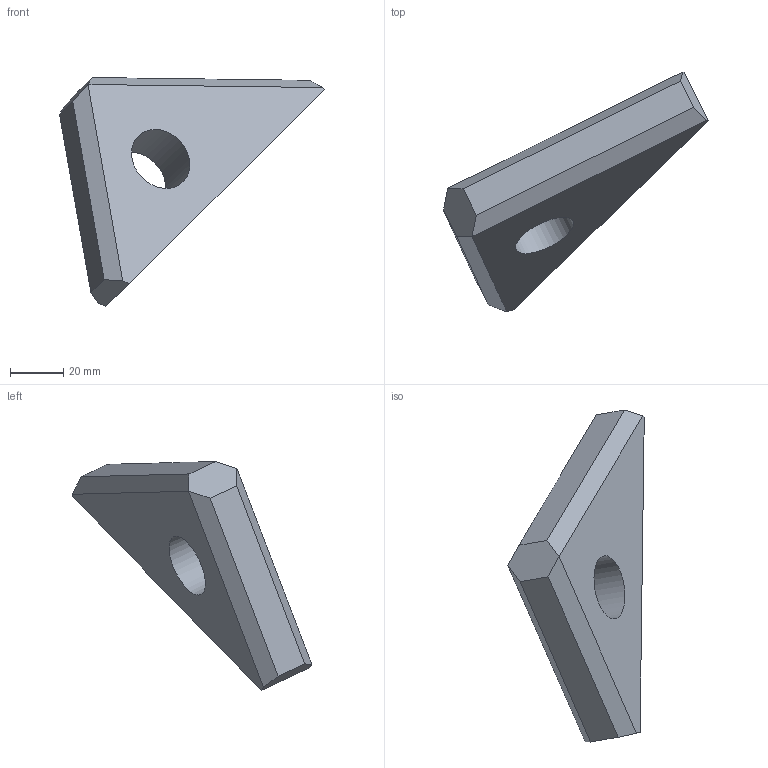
import cadquery as cq
import math


THICKNESS = 22.0
LEG_CHAMFER = 5.0
LONG_LEG = 101.1
SHORT_LEG = 82.5

END_LEAN_DEG = 25.0
LONG_END_DEPTH = 6.0
SHORT_END_DEPTH = 7.7
END_SLOPE = math.tan(math.radians(END_LEAN_DEG))
LONG_TIP_X = LONG_LEG + LONG_END_DEPTH * END_SLOPE
SHORT_TIP_Y = -SHORT_LEG - SHORT_END_DEPTH * END_SLOPE

CORNER_CUT = 2 * LEG_CHAMFER

BLANK_MARGIN = 10.0

HOLE_DIAMETER = 24.0
HOLE_FROM_SHORT_LEG = 30.0
HOLE_FROM_LONG_LEG = 35.0

ROLL_DEG = 67.17
PITCH_DEG = 0.66
YAW_DEG = 26.36

X_AXIS = (1, 0, 0)
Y_AXIS = (0, 1, 0)
Z_AXIS = (0, 0, 1)


def lower_face():
    """Workplane on the lower face of the flat plate."""
    return cq.Workplane("XY").workplane(offset=-THICKNESS / 2)


def make_chamfered_blank():
    """Rectangular plate with both face edges of the two legs chamfered, mitred at the corner."""
    length = LONG_TIP_X + BLANK_MARGIN
    width = BLANK_MARGIN - SHORT_TIP_Y
    blank = cq.Workplane("XY").box(length, width, THICKNESS)
    blank = blank.translate((length / 2, -width / 2, 0))
    leg_sides = blank.faces("<X or >Y")
    return leg_sides.edges("not |Z").chamfer(LEG_CHAMFER)


def make_outline_prism():
    """Prism on the plate outline: cut corner, long leg, its end, sloping side, short end, short leg."""
    outline = [
        (0, -CORNER_CUT),
        (CORNER_CUT, 0),
        (LONG_LEG, 0),
        (LONG_TIP_X, -LONG_END_DEPTH),
        (SHORT_END_DEPTH, SHORT_TIP_Y),
        (0, -SHORT_LEG),
    ]
    return lower_face().polyline(outline).close().extrude(THICKNESS)


def make_hole():
    """Cylinder square to the plate, as long as the plate is thick."""
    center = lower_face().center(HOLE_FROM_SHORT_LEG, -HOLE_FROM_LONG_LEG)
    return center.circle(HOLE_DIAMETER / 2).extrude(THICKNESS)


def tilt(plate):
    """Turn the flat plate about the square corner into its final attitude."""
    origin = (0, 0, 0)
    for axis, angle in ((X_AXIS, ROLL_DEG), (Y_AXIS, PITCH_DEG), (Z_AXIS, YAW_DEG)):
        plate = plate.rotate(origin, axis, angle)
    return plate


flat_plate = make_chamfered_blank().intersect(make_outline_prism()).cut(make_hole())
result = tilt(flat_plate)